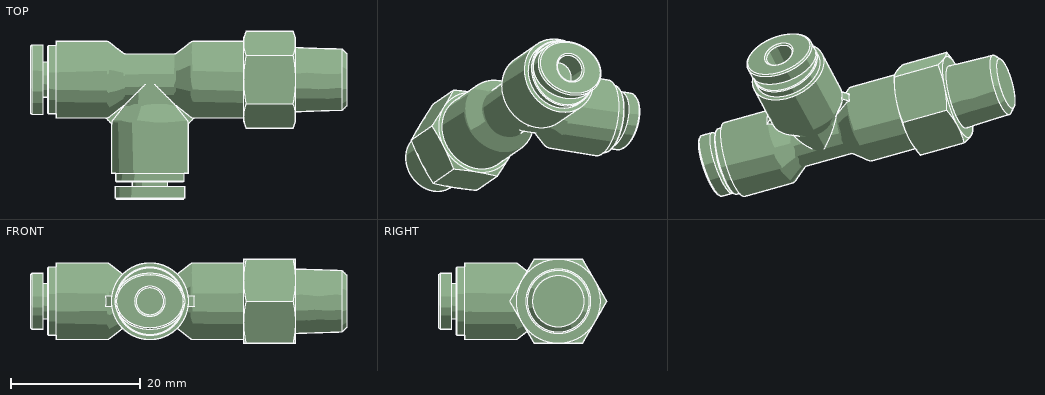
import cadquery as cq
import math


arm_length = 14.5
arm_radius = 11.9 / 2
neck_radius = 4.0
neck_end = 3.95
cone_end = 6.45
cone_edge_fillet = 0.5

web_thickness = 1.6
web_reach = 12.75

collar_radius = 10.6 / 2
collar_length = 1.3
collar_chamfer = 0.15

port_end = 18.5
button_head_length = 2.0
button_head_width = 10.8
button_head_height = 8.7
button_edge_chamfer = 0.25
shank_radius = 5.5 / 2
tube_hole_radius = 4.2 / 2
tube_hole_chamfer = 0.25
tube_hole_chamfer_angle = 90.0

hex_across_flats = 13.0
hex_length = 8.0
hex_chamfer_angle = 20.0
thread_length = 8.0
thread_start_radius = 5.0
thread_taper = 1 / 16
thread_end_chamfer_length = 0.8


def along_minus_x(part):
    """Turn a part built along +Z so that it points to -X, its X becoming Z."""
    return part.rotate((0, 0, 0), (0, 1, 0), -90)


def along_minus_y(part):
    """Turn a part built along +Z so that it points to -Y, its X becoming Z."""
    return along_minus_x(part).rotate((0, 0, 0), (0, 0, 1), 90)


def along_plus_x(part):
    """Turn a part built along +Z so that it points to +X."""
    return part.rotate((0, 0, 0), (0, 1, 0), 90)


def make_arm():
    """Neck, cone and full-diameter barrel, along +Z from the origin."""
    arm = (
        cq.Workplane("XZ")
        .lineTo(neck_radius, 0)
        .lineTo(neck_radius, neck_end)
        .lineTo(arm_radius, cone_end)
        .lineTo(arm_radius, arm_length)
        .lineTo(0, arm_length)
        .close()
        .revolve(360, (0, 0, 0), (0, 1, 0))
    )
    for edge_height in (neck_end, cone_end):
        cone_edge = cq.selectors.NearestToPointSelector((0, 0, edge_height))
        arm = arm.edges(cone_edge).fillet(cone_edge_fillet)
    return arm


def make_webs():
    """Triangular plate whose sloped edges show in the corners beside the branch."""
    return (
        cq.Workplane("XY")
        .polyline([(-web_reach, 0), (0, -web_reach), (web_reach, 0)])
        .close()
        .extrude(web_thickness / 2, both=True)
    )


def make_housing():
    arm = make_arm()
    run = along_minus_x(arm).union(along_plus_x(arm))
    return run.union(along_minus_y(arm)).union(make_webs())


def make_collar():
    """Ring on the end of a tube port, around the button shank."""
    return (
        cq.Workplane("XY")
        .workplane(offset=arm_length)
        .circle(collar_radius)
        .extrude(collar_length)
        .faces(">Z")
        .chamfer(collar_chamfer)
        .faces(">Z")
        .workplane()
        .hole(2 * shank_radius)
    )


def make_button():
    """Oval head on a round shank, with the tube hole through both."""
    head_start = port_end - button_head_length
    head = (
        cq.Workplane("XY")
        .workplane(offset=head_start)
        .ellipse(button_head_height / 2, button_head_width / 2)
        .extrude(button_head_length)
        .faces(">Z")
        .chamfer(button_edge_chamfer)
    )
    shank = (
        cq.Workplane("XY")
        .workplane(offset=arm_length)
        .circle(shank_radius)
        .extrude(head_start - arm_length)
    )
    return (
        head.union(shank)
        .faces(">Z")
        .workplane()
        .cskHole(2 * tube_hole_radius, 2 * (tube_hole_radius + tube_hole_chamfer), tube_hole_chamfer_angle)
    )


def make_hex():
    """Hexagon along +Z with a corner chamfer on both ends and corners on the Y axis."""
    corner_radius = hex_across_flats / 2 / math.cos(math.pi / 6)
    face_radius = hex_across_flats / 2
    chamfer_length = (corner_radius - face_radius) * math.tan(math.radians(hex_chamfer_angle))
    prism = (
        cq.Workplane("XY")
        .polygon(6, 2 * corner_radius)
        .extrude(hex_length)
        .rotate((0, 0, 0), (0, 0, 1), 90)
    )
    corner_envelope = (
        cq.Workplane("XY")
        .circle(corner_radius)
        .extrude(hex_length)
        .faces("<Z or >Z")
        .chamfer(chamfer_length, corner_radius - face_radius)
    )
    return prism.intersect(corner_envelope)


def make_thread():
    """Tapered thread blank along +Z with a 45 degree chamfer at its free end."""
    chamfer_start = thread_length - thread_end_chamfer_length
    chamfer_start_radius = thread_start_radius - chamfer_start * thread_taper / 2
    return (
        cq.Workplane("XZ")
        .lineTo(thread_start_radius, 0)
        .lineTo(chamfer_start_radius, chamfer_start)
        .lineTo(chamfer_start_radius - thread_end_chamfer_length, thread_length)
        .lineTo(0, thread_length)
        .close()
        .revolve(360, (0, 0, 0), (0, 1, 0))
    )


def make_stud():
    stud = make_hex().union(make_thread().translate((0, 0, hex_length)))
    return along_plus_x(stud.translate((0, 0, arm_length)))


housing = make_housing()
stud = make_stud()

bodies = [housing.val(), stud.val()]
for place_on_port in (along_minus_x, along_minus_y):
    collar = place_on_port(make_collar())
    button = place_on_port(make_button())
    bodies += [collar.val(), button.val()]

result = cq.Compound.makeCompound(bodies)